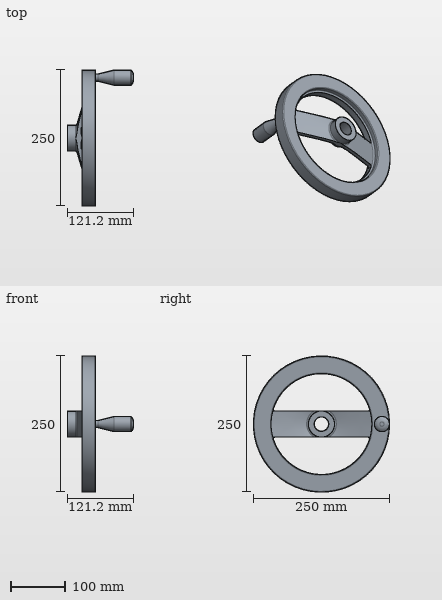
import cadquery as cq
import math

overall_length = 121.24

hub_radius = 48 / 2
hub_bore_radius = 26 / 2
hub_length = 28.5

rim_radius = 250 / 2
rim_width = 25.0
rim_front_x = 26.5
rim_back_x = rim_front_x + rim_width
rim_bore_radius = 185 / 2
recess_radius = 192.62 / 2
rim_edge_fillet = 1.5

web_front_x = 16.8
web_back_x = 23.8
web_front_slope = 0.300
web_back_slope = 0.31
front_hub_fillet = 2.5
back_hub_fillet = 2.5
recess_fillet = 2.5

spoke_clearance = 0.02
spoke_width = 2 * hub_radius + spoke_clearance
window_corner_fillet = 3.0

grip_radius = 28 / 2
neck_radius = 13.44 / 2
neck_length = 4.6
taper_length = 29.2
dome_height = 4.75
dome_flat_radius = 4.0
handle_y = rim_radius - grip_radius

match_tolerance = 0.01


def web_front_at(radius):
    return web_front_x + web_front_slope * (radius - hub_radius)


def web_back_at(radius):
    return web_back_x + web_back_slope * (radius - hub_radius)


def fillet_ring(body, x, radius, size):
    """Round the circular edge of the given radius whose centre lies on the X axis at x."""
    rings = [
        edge for edge in body.edges("%CIRCLE").vals()
        if abs(edge.arcCenter().x - x) < match_tolerance
        and abs(edge.radius() - radius) < match_tolerance
    ]
    return body.newObject(rings).fillet(size)


def make_wheel_blank():
    profile = (
        cq.Workplane("XY")
        .moveTo(0, hub_bore_radius)
        .lineTo(0, hub_radius)
        .lineTo(web_front_x, hub_radius)
        .lineTo(web_front_at(recess_radius), recess_radius)
        .lineTo(rim_front_x, recess_radius)
        .lineTo(rim_front_x, rim_radius)
        .lineTo(rim_back_x, rim_radius)
        .lineTo(rim_back_x, rim_bore_radius)
        .lineTo(web_back_at(rim_bore_radius), rim_bore_radius)
        .lineTo(web_back_x, hub_radius)
        .lineTo(hub_length, hub_radius)
        .lineTo(hub_length, hub_bore_radius)
        .close()
    )
    blank = profile.revolve(360, (0, 0, 0), (1, 0, 0))
    rounded_rings = [
        (web_front_x, hub_radius, front_hub_fillet),
        (web_back_x, hub_radius, back_hub_fillet),
        (web_front_at(recess_radius), recess_radius, recess_fillet),
        (rim_front_x, recess_radius, rim_edge_fillet),
        (rim_front_x, rim_radius, rim_edge_fillet),
        (rim_back_x, rim_radius, rim_edge_fillet),
        (rim_back_x, rim_bore_radius, rim_edge_fillet),
    ]
    for x, radius, size in rounded_rings:
        blank = fillet_ring(blank, x, radius, size)
    return blank


def make_window(side):
    """Segment of the rim bore above (side = 1) or below (side = -1) the spokes."""
    block_height = rim_radius
    block_z = side * (spoke_width + block_height) / 2
    block = cq.Workplane("XY").box(
        rim_back_x, 2 * rim_radius, block_height, centered=(False, True, True)
    )
    flank = "<Z" if side > 0 else ">Z"
    return (
        cq.Workplane("YZ")
        .circle(rim_bore_radius)
        .extrude(rim_back_x)
        .intersect(block.translate((0, 0, block_z)))
        .faces(flank)
        .edges("|X")
        .fillet(window_corner_fillet)
    )


def make_handle():
    neck_end_x = rim_back_x + neck_length
    taper_end_x = neck_end_x + taper_length
    grip_end_x = overall_length - dome_height
    dome_span = grip_radius - dome_flat_radius
    dome_radius = (dome_span**2 + dome_height**2) / (2 * dome_height)
    dome_mid_drop = dome_radius - math.sqrt(dome_radius**2 - (dome_span / 2) ** 2)
    dome_middle = (overall_length - dome_mid_drop, dome_flat_radius + dome_span / 2)
    root_x = rim_back_x - rim_width / 2
    return (
        cq.Workplane("XY")
        .moveTo(root_x, 0)
        .lineTo(root_x, neck_radius)
        .lineTo(neck_end_x, neck_radius)
        .lineTo(taper_end_x, grip_radius)
        .lineTo(grip_end_x, grip_radius)
        .threePointArc(dome_middle, (overall_length, dome_flat_radius))
        .lineTo(overall_length, 0)
        .close()
        .revolve(360, (0, 0, 0), (1, 0, 0))
        .translate((0, handle_y, 0))
    )


wheel = make_wheel_blank()
for side in (1, -1):
    wheel = wheel.cut(make_window(side))

result = wheel.union(make_handle())